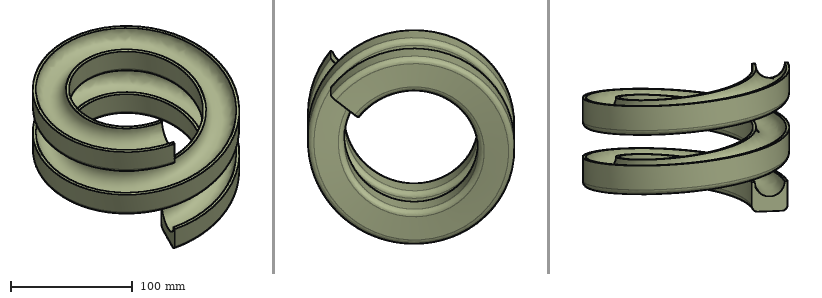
import cadquery as cq

outer_radius = 85.0
inner_radius = 55.0
channel_height = 25.0
pitch = 50.0
turns = 2
wall_thickness = 2.5
bottom_fillet = 5.0

mid_radius = (outer_radius + inner_radius) / 2
groove_radius = (outer_radius - inner_radius) / 2 - wall_thickness


def channel_section():
    """Closed channel section in the XZ plane: rounded bottom, half-round groove on top."""
    return (
        cq.Workplane("XZ")
        .moveTo(inner_radius + bottom_fillet, 0)
        .lineTo(outer_radius - bottom_fillet, 0)
        .radiusArc((outer_radius, bottom_fillet), -bottom_fillet)
        .lineTo(outer_radius, channel_height)
        .lineTo(mid_radius + groove_radius, channel_height)
        .threePointArc(
            (mid_radius, channel_height - groove_radius),
            (mid_radius - groove_radius, channel_height),
        )
        .lineTo(inner_radius, channel_height)
        .lineTo(inner_radius, bottom_fillet)
        .radiusArc((inner_radius + bottom_fillet, 0), -bottom_fillet)
        .close()
    )


helix = cq.Wire.makeHelix(pitch, turns * pitch, mid_radius)
result = channel_section().sweep(cq.Workplane(helix), isFrenet=True)